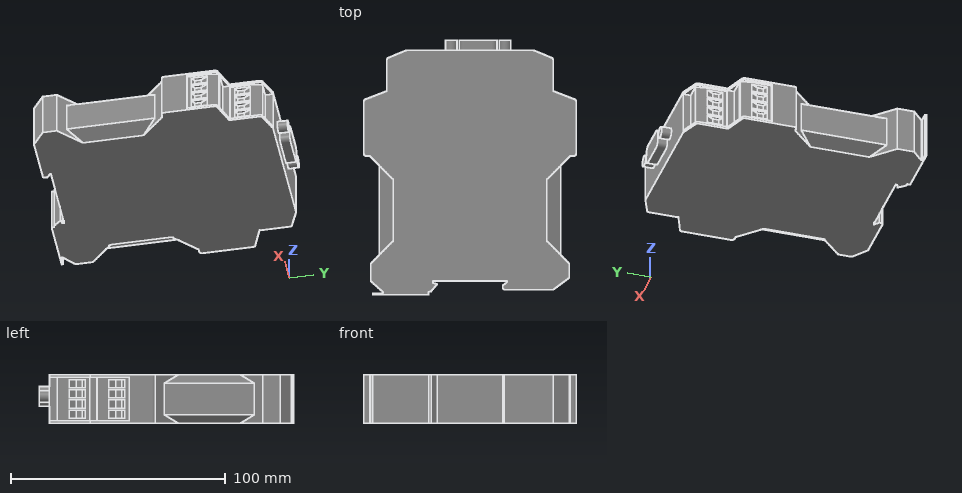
import cadquery as cq

width = 99.0
length = 118.6
thickness = 22.7
connector_length = 4.7
housing_top = length - connector_length

half_width = width / 2
step_half_width = 38.8
crown_half_width = 29.6
crown_corner_y = 110.1
step_y = 94.9
shoulder_y = 90.7
lip_y = 64.5
lip_half_width = 46.6
corner_radius = 1.4

waist_half_width = 35.8
waist_top_y = lip_y - (lip_half_width - waist_half_width)
waist_bottom_y = 25.0
foot_half_width = 46.3
foot_top_y = waist_bottom_y - (foot_half_width - waist_half_width)
foot_y = 2.4
foot_bevel_x = 38.8
foot_bevel_y = 8.0

rail_y = 6.4
rail_left_x = -18.1
rail_right_x = 17.3
hook_x = 15.2
hook_y = 4.4
hook_bevel = 0.7
hook_root = 0.4

plate_thickness = 0.8
plate_left_x = -45.2
plate_right_x = -19.2
clip_corner_x = -40.6
clip_corner_y = 1.3
clip_left_bevel_y = 6.4
latch_base_y = 1.5
latch_tip_x = -15.2
latch_tip_y = 5.0
latch_root_x = -17.2
latch_root_y = 5.6

block_half_width = 42.3
block_slope_height = 3.9

pocket_height = 20.4
pocket_bottom_drop = 14.0
slope_start_drop = 4.5
slope_end_rise = 0.4
shelf_rise = 1.1
face_inset = 1.0
slope_inset = 1.8
nose_inset = 2.1
upper_pocket_shift = 18.4

window_count = 4
window_pitch = 4.7
window_height = 3.8
window_depth = 1.9
window_bottom_drop = 12.0
window_floor_bottom_drop = 10.7
window_floor_top_drop = 7.7

connector_x = 3.74
connector_z = 1.2
shell_width = 17.7
shell_height = 9.4
shell_radius = 2.5
post_diameter = 5.5
post_spacing = 25.0


def prism(points, height):
    """Closed XY outline extruded symmetrically about Z = 0."""
    return cq.Workplane("XY").polyline(points).close().extrude(height / 2, both=True)


def both_sides(solid):
    return solid.union(solid.mirror("YZ"))


def make_housing():
    right_upper = [
        (foot_half_width, foot_top_y),
        (waist_half_width, waist_bottom_y),
        (waist_half_width, waist_top_y),
        (lip_half_width, lip_y),
        (half_width, lip_y),
        (half_width, shoulder_y),
        (step_half_width, step_y),
        (step_half_width, crown_corner_y),
        (crown_half_width, housing_top),
    ]
    left_upper = [(-x, y) for x, y in reversed(right_upper)]
    foot = [
        (-foot_half_width, clip_left_bevel_y),
        (clip_corner_x, clip_corner_y),
        (clip_corner_x, foot_y),
        (rail_left_x, foot_y),
        (rail_left_x, rail_y),
        (rail_right_x, rail_y),
        (rail_right_x, rail_y - hook_root),
        (hook_x, hook_y),
        (hook_x, foot_y + hook_bevel),
        (hook_x + hook_bevel, foot_y),
        (foot_bevel_x, foot_y),
        (foot_half_width, foot_bevel_y),
    ]
    housing = prism(right_upper + left_upper + foot, thickness)
    rounded = [(half_width, lip_y), (half_width, shoulder_y), (step_half_width, crown_corner_y)]
    for x, y in rounded:
        for side in (-1, 1):
            corner = cq.selectors.NearestToPointSelector((side * x, y, 0))
            housing = housing.edges("|Z").edges(corner).fillet(corner_radius)
    return housing


def make_clip():
    return prism([
        (plate_left_x, 0),
        (plate_right_x, 0),
        (plate_right_x, clip_corner_y),
        (rail_left_x, latch_base_y),
        (latch_tip_x, latch_tip_y),
        (latch_root_x, latch_root_y),
        (latch_root_x, rail_y),
        (rail_left_x, rail_y),
        (rail_left_x, foot_y),
        (clip_corner_x, foot_y),
        (clip_corner_x, plate_thickness),
        (plate_left_x, plate_thickness),
    ], thickness)


def make_waist_block():
    """Left block, sloping in Z from the waist edges out to its flat face."""
    half = thickness / 2
    flat = half - block_slope_height
    profile = [
        (0, half),
        (-waist_half_width, half),
        (-block_half_width, flat),
        (-block_half_width, -flat),
        (-waist_half_width, -half),
        (0, -half),
    ]
    reach = block_half_width - waist_half_width
    block_length = waist_top_y - waist_bottom_y + 2 * reach
    block = cq.Workplane("XZ", origin=(0, waist_top_y + reach, 0))
    return block.polyline(profile).close().extrude(block_length)


def make_terminal_cut(flank_x, shelf_x, corner_y, top_y):
    """Left pocket that leaves a terminal face with a row of wire openings."""
    face_x = flank_x + face_inset
    slope_y = corner_y - slope_start_drop
    bottom_y = corner_y - pocket_bottom_drop
    pocket = prism([
        (flank_x, bottom_y),
        (face_x, bottom_y),
        (face_x, slope_y),
        (flank_x + slope_inset, corner_y + slope_end_rise),
        (flank_x + nose_inset, corner_y + shelf_rise),
        (shelf_x, corner_y + shelf_rise),
        (shelf_x, top_y),
        (flank_x, top_y),
    ], pocket_height)
    window = prism([
        (face_x, corner_y - window_bottom_drop),
        (face_x + window_depth, corner_y - window_floor_bottom_drop),
        (face_x + window_depth, corner_y - window_floor_top_drop),
        (face_x, slope_y),
        (flank_x, slope_y),
        (flank_x, corner_y - window_bottom_drop),
    ], window_height)
    for i in range(window_count):
        z = (i - (window_count - 1) / 2) * window_pitch
        pocket = pocket.union(window.translate((0, 0, z)))
    return pocket


def make_connector():
    base = cq.Workplane("XZ", origin=(connector_x, housing_top, connector_z))
    shell = base.rect(shell_width, shell_height).extrude(-connector_length)
    shell = shell.edges("|Y").fillet(shell_radius)
    ends = [(-post_spacing / 2, 0), (post_spacing / 2, 0)]
    posts = base.pushPoints(ends).circle(post_diameter / 2).extrude(-connector_length)
    return shell.union(posts)


lower_terminal = make_terminal_cut(-half_width, -step_half_width, shoulder_y, step_y)
upper_terminal = make_terminal_cut(
    -step_half_width, -crown_half_width, shoulder_y + upper_pocket_shift, housing_top
)

result = make_housing().union(make_clip()).union(both_sides(make_waist_block()))
result = result.cut(both_sides(lower_terminal)).cut(both_sides(upper_terminal))
result = result.union(make_connector())